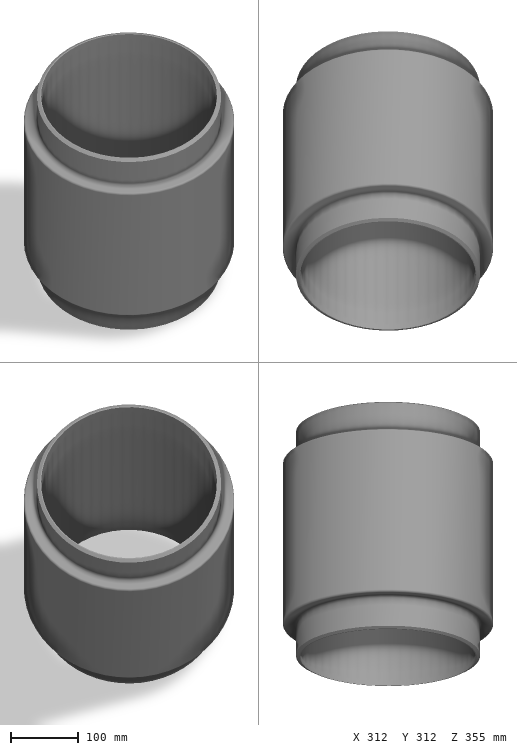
import cadquery as cq
import math

total_length = 355.0
pipe_diameter = 273.0
wall_thickness = 6.3
sleeve_diameter = 312.0
stub_length = 50.0
sleeve_edge_radius = 3.0
root_radius = 3.0
end_land = 1.5
bevel_angle = 30.0

pipe_radius = pipe_diameter / 2
bore_radius = pipe_radius - wall_thickness
sleeve_radius = sleeve_diameter / 2
end_z = total_length / 2
shoulder_z = end_z - stub_length
bevel_width = wall_thickness - end_land
bevel_height = bevel_width * math.tan(math.radians(bevel_angle))


def wall_section():
    """Closed section of the wall in the XZ plane, drawn from the lower bore edge up the outside."""
    return (
        cq.Workplane("XZ")
        .moveTo(bore_radius, -end_z)
        .lineTo(pipe_radius - bevel_width, -end_z)
        .lineTo(pipe_radius, -end_z + bevel_height)
        .lineTo(pipe_radius, -shoulder_z - root_radius)
        .radiusArc((pipe_radius + root_radius, -shoulder_z), root_radius)
        .lineTo(sleeve_radius - sleeve_edge_radius, -shoulder_z)
        .radiusArc((sleeve_radius, -shoulder_z + sleeve_edge_radius), -sleeve_edge_radius)
        .lineTo(sleeve_radius, shoulder_z - sleeve_edge_radius)
        .radiusArc((sleeve_radius - sleeve_edge_radius, shoulder_z), -sleeve_edge_radius)
        .lineTo(pipe_radius + root_radius, shoulder_z)
        .radiusArc((pipe_radius, shoulder_z + root_radius), root_radius)
        .lineTo(pipe_radius, end_z - bevel_height)
        .lineTo(pipe_radius - bevel_width, end_z)
        .lineTo(bore_radius, end_z)
        .close()
    )


result = wall_section().revolve(360, (0, 0, 0), (0, 1, 0))